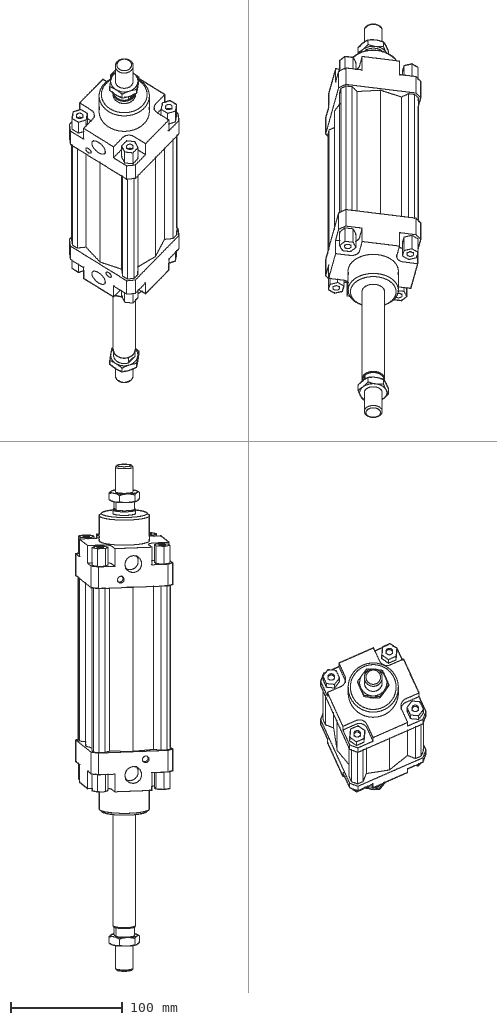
import cadquery as cq
import math

barrel_length = 149.5
cap_height = 36.0
boss_height = 25.0
upper_rod_projection = 43.5
lower_rod_projection = 144.5

cap_outer_z = barrel_length / 2 + cap_height
boss_end_z = cap_outer_z + boss_height
rod_top_z = boss_end_z + upper_rod_projection
rod_bottom_z = -boss_end_z - lower_rod_projection

cap_width = 75.0
cap_corner_chamfer = 5.5
boss_diameter = 45.0
boss_chamfer = 2.0

pocket_depth = 16.0
pocket_wall_offset = 17.0
tie_bolt_offset = 28.5
pocket_radius = 7.5
tie_head_across_flats = 13.0
tie_hole_diameter = 6.0
tie_hole_depth = 6.0
drill_point_angle = 118

port_diameter = 15.0
port_depth = 13.8
port_inset = 14.5
screw_hole_diameter = 6.0
screw_hole_depth = 4.5
screw_hole_offset = 11.5
screw_hole_inset = 7.5

barrel_width = 70.5
barrel_corner_chamfer = 4.0
barrel_land_inner = 25.5
barrel_groove_depth = 5.5

rod_diameter = 20.0
rod_shoulder_chamfer = 1.0
neck_diameter = 19.5
neck_across_flats = 17.0
neck_length = 8.0
thread_diameter = 16.0
thread_length = 31.5
thread_chamfer = 1.5

nut_across_flats = 24.5
nut_height = 8.0
nut_chamfer_angle = 30


def hexagon_diameter(across_flats):
    """Corner-to-corner size of a regular hexagon."""
    return across_flats / math.cos(math.pi / 6)


def make_barrel():
    """Extruded barrel: each side has two corner lands and a shallow ridge between two grooves."""
    half = barrel_width / 2
    land_outer = half - barrel_corner_chamfer
    groove_floor = half - barrel_groove_depth
    groove_x = barrel_land_inner - barrel_groove_depth
    side = [
        (-land_outer, half),
        (-barrel_land_inner, half),
        (-groove_x, groove_floor),
        (0, half),
        (groove_x, groove_floor),
        (barrel_land_inner, half),
        (land_outer, half),
    ]
    outline = list(side)
    for _ in range(3):
        side = [(y, -x) for x, y in side]
        outline += side
    return (
        cq.Workplane("XY", origin=(0, 0, -barrel_length / 2))
        .polyline(outline)
        .close()
        .extrude(barrel_length)
    )


def make_tie_hole():
    """Blind drilled hole, with its conical bottom, in the end of the +X +Y tie-bolt head."""
    radius = tie_hole_diameter / 2
    point_height = radius / math.tan(math.radians(drill_point_angle / 2))
    return (
        cq.Workplane("XZ")
        .polyline([
            (0, 0),
            (radius, 0),
            (radius, -tie_hole_depth),
            (0, -tie_hole_depth - point_height),
        ])
        .close()
        .revolve(360, (0, 0, 0), (0, 1, 0))
        .translate((tie_bolt_offset, tie_bolt_offset, cap_outer_z))
    )


def make_corner_pocket():
    """Volume removed from the +X +Y corner of a cap, leaving the tie-bolt head standing."""
    pocket_size = cap_width / 2 - pocket_wall_offset
    floor_z = cap_outer_z - pocket_depth
    pocket = (
        cq.Workplane("XY", origin=(pocket_wall_offset, pocket_wall_offset, floor_z))
        .rect(pocket_size, pocket_size, centered=False)
        .extrude(pocket_depth)
        .edges("|Z and <X and <Y")
        .fillet(pocket_radius)
    )
    head = (
        cq.Workplane("XY", origin=(tie_bolt_offset, tie_bolt_offset, floor_z))
        .polygon(6, hexagon_diameter(tie_head_across_flats))
        .extrude(pocket_depth)
    )
    return pocket.cut(head).union(make_tie_hole())


def make_side_hole(x, z, diameter, depth):
    """Blind round hole going in from the -Y face of a cap."""
    return (
        cq.Workplane("XZ", origin=(x, -cap_width / 2, z))
        .circle(diameter / 2)
        .extrude(-depth)
    )


def make_upper_cap():
    """Square end cap with its round boss and four corner pockets."""
    cap = (
        cq.Workplane("XY", origin=(0, 0, barrel_length / 2))
        .rect(cap_width, cap_width)
        .extrude(cap_height)
        .edges("|Z")
        .chamfer(cap_corner_chamfer)
    )
    boss = (
        cq.Workplane("XY", origin=(0, 0, cap_outer_z))
        .circle(boss_diameter / 2)
        .extrude(boss_height)
        .faces(">Z")
        .chamfer(boss_chamfer)
    )
    pocket = make_corner_pocket()
    for turn in range(4):
        cap = cap.cut(pocket.rotate((0, 0, 0), (0, 0, 1), 90 * turn))
    return cap.union(boss)


def make_housing():
    """Barrel between two mirrored caps, with the rod bore and the side holes."""
    upper_cap = make_upper_cap()
    lower_cap = upper_cap.mirror("XY")
    rod_bore = (
        cq.Workplane("XY", origin=(0, 0, -boss_end_z))
        .circle(rod_diameter / 2)
        .extrude(2 * boss_end_z)
    )
    housing = make_barrel().union(upper_cap).union(lower_cap).cut(rod_bore)

    port_z = cap_outer_z - port_inset
    screw_hole_z = barrel_length / 2 + screw_hole_inset
    for end in (1, -1):
        port = make_side_hole(0, end * port_z, port_diameter, port_depth)
        screw_hole = make_side_hole(
            -end * screw_hole_offset, end * screw_hole_z, screw_hole_diameter, screw_hole_depth
        )
        housing = housing.cut(port).cut(screw_hole)
    return housing


def make_neck_flats():
    """Material milled off a round neck to leave two flats facing -X and +X, from Z = 0 up."""
    blank = cq.Workplane("XY").rect(rod_diameter, rod_diameter).extrude(neck_length)
    core = cq.Workplane("XY").rect(neck_across_flats, rod_diameter).extrude(neck_length)
    return blank.cut(core)


def make_rod():
    """Through rod with a flatted neck and a thread-size stub at each end."""
    rod_radius = rod_diameter / 2
    neck_radius = neck_diameter / 2
    thread_radius = thread_diameter / 2
    tip_radius = thread_radius - thread_chamfer
    neck_outer = thread_length
    neck_inner = thread_length + neck_length
    shoulder = neck_inner + rod_shoulder_chamfer
    end_profile = [
        (0, 0),
        (tip_radius, 0),
        (thread_radius, thread_chamfer),
        (thread_radius, neck_outer),
        (neck_radius, neck_outer),
        (neck_radius, neck_inner),
        (rod_radius, shoulder),
    ]
    lower_end = [(r, rod_bottom_z + d) for r, d in end_profile]
    upper_end = [(r, rod_top_z - d) for r, d in reversed(end_profile)]
    rod = (
        cq.Workplane("XZ")
        .polyline(lower_end + upper_end)
        .close()
        .revolve(360, (0, 0, 0), (0, 1, 0))
    )
    flats = make_neck_flats()
    for flats_z in (rod_bottom_z + neck_outer, rod_top_z - neck_inner):
        rod = rod.cut(flats.translate((0, 0, flats_z)))
    return rod


def make_nut(bottom_z):
    """Hexagon nut with its corners turned down at both ends."""
    corner_radius = hexagon_diameter(nut_across_flats) / 2
    flat_radius = nut_across_flats / 2
    drop = (corner_radius - flat_radius) * math.tan(math.radians(nut_chamfer_angle))
    hexagon = (
        cq.Workplane("XY")
        .polygon(6, 2 * corner_radius)
        .circle(thread_diameter / 2)
        .extrude(nut_height)
    )
    turned_envelope = (
        cq.Workplane("XZ")
        .polyline([
            (0, 0),
            (flat_radius, 0),
            (corner_radius, drop),
            (corner_radius, nut_height - drop),
            (flat_radius, nut_height),
            (0, nut_height),
        ])
        .close()
        .revolve(360, (0, 0, 0), (0, 1, 0))
    )
    return hexagon.intersect(turned_envelope).translate((0, 0, bottom_z))


housing = make_housing()
rod = make_rod()

nut_inset = thread_length - nut_height
nut_bottoms = [rod_bottom_z + nut_inset, rod_top_z - thread_length]
nuts = [make_nut(bottom_z) for bottom_z in nut_bottoms]

result = cq.Compound.makeCompound([
    housing.val(),
    rod.val(),
    *[nut.val() for nut in nuts],
])